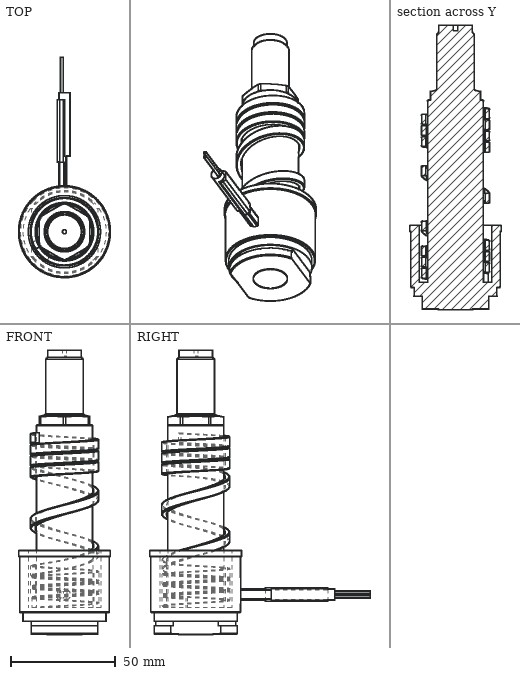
import cadquery as cq
import math

BOSS_TOP = 0.4
FOOT_TOP = 4.5
NECK_TOP = 6.5
STEP_TOP = 10.6
FLANGE_BOTTOM = 37.3
CUP_TOP = 40.6
CUP_FLOOR = 13.4
BARREL_TOP = 100.5
NUT_SHOULDER = 104.3
NUT_TOP = 105.1
COLLAR_TOP = 105.8
SHAFT_TOP = 132.8
TOTAL_HEIGHT = 136.3

BOSS_RADIUS = 8.2
FOOT_RADIUS = 19.9
NECK_RADIUS = 19.2
CUP_RADIUS = 21.5
FLANGE_RADIUS = 44.0 / 2
BORE_RADIUS = 17.3
BARREL_RADIUS = 13.5
SHAFT_RADIUS = 9.0
TIP_RADIUS = 8.0

FOOT_ACROSS_FLATS = 31.9
EDGE_BREAK = 0.4
SHAFT_CHAMFER = 0.8
TIP_HOLE_DIAMETER = 1.9
TIP_HOLE_DEPTH = 2.7

NUT_ACROSS_FLATS = 24.0
NUT_CORNER_RADIUS = BARREL_RADIUS
COLLAR_RADIUS = 9.7

SPRING_OUTER_RADIUS = 16.4
SPRING_INNER_RADIUS = 14.0
WIRE_HEIGHT = 4.9
WIRE_CHAMFER = 0.4
CLOSED_PITCH = 5.3
OPEN_PITCH = 26.5
SPRING_TOP = 96.8
SPRING_END_ANGLE = 211.0
UPPER_CLOSED_SWEEP = 3 * 360 + 14.0
OPEN_SWEEP = 720.0
LOWER_CLOSED_SWEEP = 3 * 360.0
PITCH_RAMP_SWEEP = 100.0
SPRING_STEP = 10.0

OVERALL_DEPTH = 105.5
CABLE_Z = 19.4
CABLE_START = 19.8
LEAD_LEFT = -2.7
LEAD_WIDTH = 2.9
LEAD_HEIGHT = 5.5
LEAD_CHAMFER = 0.5
STRIP_RIGHT = 1.1
STRIP_HEIGHT = 4.1
SLEEVE_START = 33.3
SLEEVE_LENGTH = 30.0
SLEEVE_LEFT = -3.5
SLEEVE_WIDTH = 4.2
SLEEVE_HEIGHT = 6.5
SLEEVE_CHAMFER_X = 1.4
SLEEVE_CHAMFER_Z = 1.0
TUBE_RADIUS = 2.7
TUBE_START = 36.1
TUBE_END = 66.5
CORE_X = -1.2
CORE_DIAMETER = 1.4
CORE_SPACING = 2.2
CORE_TIP = OVERALL_DEPTH - FLANGE_RADIUS


def disc(radius, bottom, top):
    return cq.Workplane("XY").workplane(offset=bottom).circle(radius).extrude(top - bottom)


def make_foot():
    foot = disc(FOOT_RADIUS, BOSS_TOP, FOOT_TOP).faces("<Z").chamfer(EDGE_BREAK)
    foot = foot.union(disc(NECK_RADIUS, FOOT_TOP, NECK_TOP))
    flats = cq.Workplane("XY").box(
        FOOT_ACROSS_FLATS, 2 * FOOT_RADIUS, NECK_TOP, centered=(True, True, False)
    )
    return foot.intersect(flats).union(disc(BOSS_RADIUS, 0, BOSS_TOP))


def make_cup():
    step = disc(FOOT_RADIUS, NECK_TOP, STEP_TOP)
    wall = disc(CUP_RADIUS, STEP_TOP, FLANGE_BOTTOM).faces("<Z").chamfer(EDGE_BREAK)
    flange = disc(FLANGE_RADIUS, FLANGE_BOTTOM, CUP_TOP).edges().chamfer(EDGE_BREAK)
    bore = disc(BORE_RADIUS, CUP_FLOOR, CUP_TOP)
    return step.union(wall).union(flange).cut(bore)


def make_barrel_and_shaft():
    barrel = disc(BARREL_RADIUS, CUP_FLOOR, BARREL_TOP).faces(">Z").chamfer(EDGE_BREAK)
    shaft = disc(SHAFT_RADIUS, BARREL_TOP, SHAFT_TOP).faces(">Z").chamfer(SHAFT_CHAMFER)
    tip = disc(TIP_RADIUS, SHAFT_TOP, TOTAL_HEIGHT)
    tip_hole = disc(TIP_HOLE_DIAMETER / 2, TOTAL_HEIGHT - TIP_HOLE_DEPTH, TOTAL_HEIGHT)
    return barrel.union(shaft).union(tip).cut(tip_hole)


def make_nut():
    corner_diameter = NUT_ACROSS_FLATS / math.cos(math.pi / 6)
    hexagon = (
        cq.Workplane("XY")
        .workplane(offset=BARREL_TOP)
        .polygon(6, corner_diameter)
        .extrude(COLLAR_TOP - BARREL_TOP)
        .rotate((0, 0, 0), (0, 0, 1), 30)
    )
    turned = (
        cq.Workplane("XZ")
        .moveTo(0, BARREL_TOP)
        .lineTo(NUT_CORNER_RADIUS, BARREL_TOP)
        .lineTo(NUT_CORNER_RADIUS, NUT_SHOULDER)
        .lineTo(COLLAR_RADIUS, NUT_TOP)
        .lineTo(SHAFT_RADIUS, COLLAR_TOP)
        .lineTo(0, COLLAR_TOP)
        .close()
        .revolve(360, (0, 0, 0), (0, 1, 0))
    )
    return hexagon.intersect(turned)


def coil_drop(sweep):
    """Height lost after winding down from the upper end through `sweep` degrees."""
    open_end = UPPER_CLOSED_SWEEP + OPEN_SWEEP

    def extra_drop(ramp_start):
        wound = max(0.0, sweep - ramp_start)
        ramped = min(wound, PITCH_RAMP_SWEEP)
        return ramped**2 / (2 * PITCH_RAMP_SWEEP) + wound - ramped

    open_wound = extra_drop(UPPER_CLOSED_SWEEP) - extra_drop(open_end - PITCH_RAMP_SWEEP)
    return (CLOSED_PITCH * sweep + (OPEN_PITCH - CLOSED_PITCH) * open_wound) / 360


def make_spring():
    total_sweep = UPPER_CLOSED_SWEEP + OPEN_SWEEP + LOWER_CLOSED_SWEEP
    count = math.ceil(total_sweep / SPRING_STEP)
    sweeps = [total_sweep * i / count for i in range(count + 1)]
    shoulder = SPRING_OUTER_RADIUS - WIRE_CHAMFER
    section = [
        (SPRING_INNER_RADIUS, 0),
        (shoulder, 0),
        (SPRING_OUTER_RADIUS, -WIRE_CHAMFER),
        (SPRING_OUTER_RADIUS, WIRE_CHAMFER - WIRE_HEIGHT),
        (shoulder, -WIRE_HEIGHT),
        (SPRING_INNER_RADIUS, -WIRE_HEIGHT),
    ]

    def corner_curve(radius, offset):
        points = []
        for sweep in sweeps:
            angle = math.radians(SPRING_END_ANGLE - sweep)
            height = SPRING_TOP + offset - coil_drop(sweep)
            points.append(cq.Vector(radius * math.cos(angle), radius * math.sin(angle), height))
        return cq.Edge.makeSpline(points, parameters=sweeps)

    curves = [corner_curve(radius, offset) for radius, offset in section]
    sides = [cq.Face.makeRuledSurface(curves[i - 1], curves[i]) for i in range(len(curves))]
    ends = []
    for at_end in (0, 1):
        corners = [curve.positionAt(at_end) for curve in curves]
        ends.append(cq.Face.makeFromWires(cq.Wire.makePolygon(corners, close=True)))
    return cq.Workplane(cq.Solid.makeSolid(cq.Shell.makeShell(sides + ends)))


def bar_along_y(left, width, height, start, end, chamfer_x, chamfer_z):
    """Eight-sided bar: a rectangle with its four long edges bevelled."""
    half_width = width / 2
    half_height = height / 2
    flat_x = half_width - chamfer_x
    flat_z = half_height - chamfer_z
    outline = [
        (half_width, flat_z),
        (flat_x, half_height),
        (-flat_x, half_height),
        (-half_width, flat_z),
        (-half_width, -flat_z),
        (-flat_x, -half_height),
        (flat_x, -half_height),
        (half_width, -flat_z),
    ]
    origin = (left + half_width, start, CABLE_Z)
    return cq.Workplane("XZ", origin=origin).polyline(outline).close().extrude(start - end)


def rod_along_y(x, z, radius, start, end):
    return cq.Workplane("XZ", origin=(x, start, z)).circle(radius).extrude(start - end)


def make_cable():
    sleeve_end = SLEEVE_START + SLEEVE_LENGTH
    lead = bar_along_y(
        LEAD_LEFT, LEAD_WIDTH, LEAD_HEIGHT, CABLE_START, TUBE_START, LEAD_CHAMFER, LEAD_CHAMFER
    )
    strip_width = STRIP_RIGHT - LEAD_LEFT - LEAD_WIDTH / 2
    strip = cq.Workplane("XY").box(
        strip_width, TUBE_START - CABLE_START, STRIP_HEIGHT, centered=(False, False, True)
    )
    strip = strip.translate((STRIP_RIGHT - strip_width, CABLE_START, CABLE_Z))
    sleeve = bar_along_y(
        SLEEVE_LEFT,
        SLEEVE_WIDTH,
        SLEEVE_HEIGHT,
        SLEEVE_START,
        sleeve_end,
        SLEEVE_CHAMFER_X,
        SLEEVE_CHAMFER_Z,
    )
    cable = lead.union(strip).union(sleeve)
    cable = cable.union(rod_along_y(0, CABLE_Z, TUBE_RADIUS, TUBE_START, TUBE_END))
    for side in (-1, 1):
        z = CABLE_Z + side * CORE_SPACING / 2
        cable = cable.union(rod_along_y(CORE_X, z, CORE_DIAMETER / 2, sleeve_end, CORE_TIP))
    return cable


result = make_foot().union(make_cup()).union(make_barrel_and_shaft()).union(make_nut())
result = result.union(make_cable()).union(make_spring())